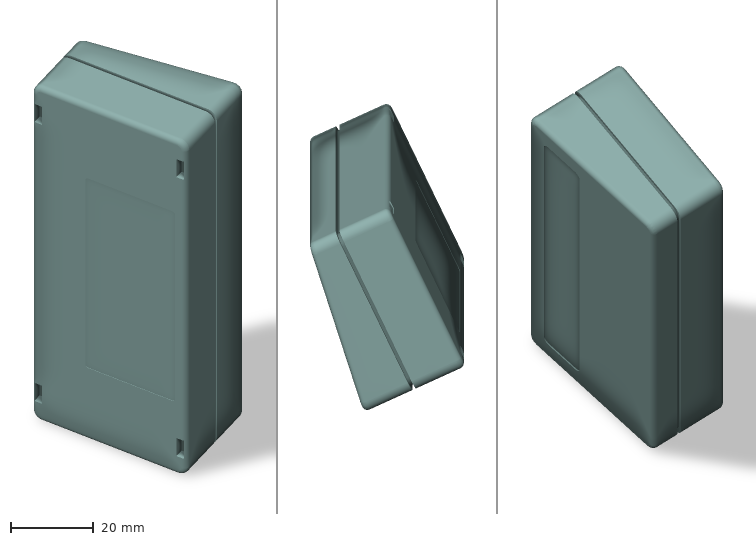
import cadquery as cq
import math

width = 43.6
height = 104.9
low_side_depth = 21.3
back_angle = 7.6
corner_radius = 2.6
rim_radius = 1.4

groove_start = 13.2
groove_width = 0.9
groove_depth = 0.9

slot_width = 2.1
slot_height = 5.7
slot_depth = 2.4
slot_side_gap = 0.7
slot_end_gap = 5.8

label_width = 25.4
label_height = 59.6
label_depth = 0.1
label_side_gap = 3.1
label_corner_radius = 0.9

back_recess_width = 12.6
back_recess_height = 92.7
back_recess_depth = 0.3
back_recess_side_gap = 5.5
back_recess_corner_radius = 1.7

back_slope = math.tan(math.radians(back_angle))
high_side_depth = low_side_depth + width * back_slope


def make_body():
    """Wedge-shaped block with rounded long edges and rims."""
    profile = [
        (-width / 2, 0),
        (width / 2, 0),
        (width / 2, high_side_depth),
        (-width / 2, low_side_depth),
    ]
    block = cq.Workplane("XY").polyline(profile).close().extrude(height / 2, both=True)
    block = block.edges("|Y").fillet(corner_radius)
    block = block.faces("<Y").edges().fillet(rim_radius)
    back_normal = cq.Vector(-back_slope, 1, 0)
    back_rim = block.faces(cq.selectors.DirectionMinMaxSelector(back_normal, True)).edges()
    return back_rim.fillet(rim_radius)


def front_sketch_plane(y):
    """Plane parallel to the front face, with its normal along +Y."""
    return cq.Workplane(cq.Plane(origin=(0, y, 0), xDir=(1, 0, 0), normal=(0, 1, 0)))


def make_groove():
    """Rectangular ring around a rounded core; it cuts into the four outer walls."""
    plane = front_sketch_plane(groove_start)
    outer = plane.rect(width, height).extrude(groove_width)
    core = plane.rect(width - 2 * groove_depth, height - 2 * groove_depth).extrude(groove_width)
    core = core.edges("|Y").fillet(corner_radius)
    return outer.cut(core)


def make_corner_slots():
    """Four slots, mirrored about the middle of the front face."""
    x = width / 2 - slot_side_gap - slot_width / 2
    z = height / 2 - slot_end_gap - slot_height / 2
    centres = [(-x, -z), (-x, z), (x, -z), (x, z)]
    return front_sketch_plane(0).pushPoints(centres).rect(slot_width, slot_height).extrude(slot_depth)


def make_label_recess():
    """Shallow rounded rectangle set towards the +X side of the front face."""
    x = width / 2 - label_side_gap - label_width / 2
    recess = front_sketch_plane(0).center(x, 0).rect(label_width, label_height).extrude(label_depth)
    return recess.edges("|Y").fillet(label_corner_radius)


def make_back_recess():
    """Recess with its floor parallel to the sloped back face."""
    plane = cq.Plane(
        origin=(width / 2, high_side_depth, 0),
        xDir=(-1, -back_slope, 0),
        normal=(-back_slope, 1, 0),
    )
    x = back_recess_side_gap + back_recess_width / 2
    recess = cq.Workplane(plane).center(x, 0).rect(back_recess_width, back_recess_height)
    recess = recess.extrude(-back_recess_depth)
    depth_edges = recess.edges(cq.selectors.ParallelDirSelector(plane.zDir))
    return depth_edges.fillet(back_recess_corner_radius)


result = make_body()
for cutter in (make_groove(), make_corner_slots(), make_label_recess(), make_back_recess()):
    result = result.cut(cutter)